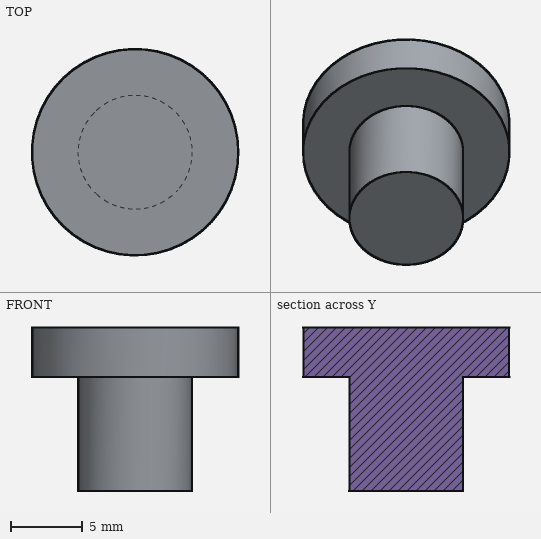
import cadquery as cq

head_diameter = 14.5
shank_diameter = 8.0
total_height = 11.5
shank_length = 8.0
head_height = total_height - shank_length

shank = cq.Workplane("XY").circle(shank_diameter / 2).extrude(shank_length)

head = (
    cq.Workplane("XY")
    .workplane(offset=shank_length)
    .circle(head_diameter / 2)
    .extrude(head_height)
)

result = shank.union(head)